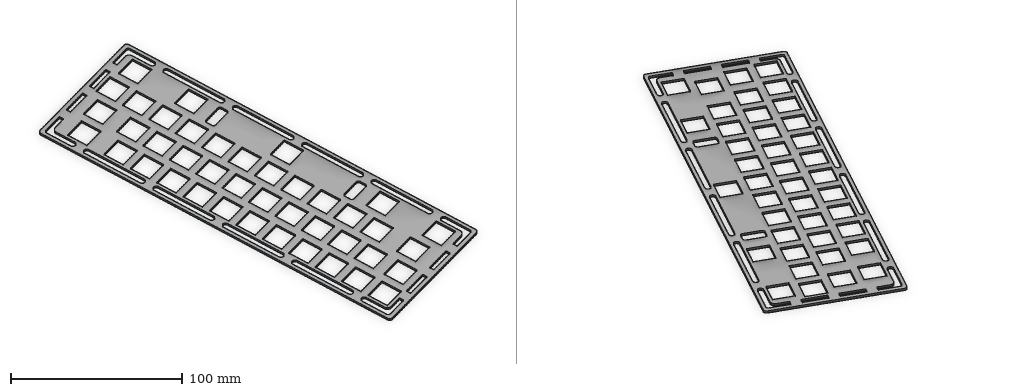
import cadquery as cq

plate_length = 254.0
plate_width = 87.5
plate_thickness = 1.6
plate_corner_radius = 2.0

key_pitch = 19.0
row_count = 4
switch_size = 14.0
half_row = 12.75 / 2
space_bar_row_columns = [-5.75, -3.625, 0, 3.625, 5.75]

stabiliser_spacing = 99.9
stabiliser_length = 6.9
stabiliser_width = 14.7
stabiliser_drop = 1.0
stabiliser_corner_radius = 1.5

side_rim = 2.3
end_rim = 2.8
end_slot_width = 3.0
long_slot_width = 3.8
long_slot_pitch = 50.0
long_slot_length = 43.7
long_slot_count = 4
end_slot_pitch = 23.0
end_slot_length = 16.3
end_slot_count = 2
corner_slot_outer_radius = 1.5
corner_slot_inner_radius = 2.8


def centred(count, pitch):
    """Positions of equally spaced items, centred on zero."""
    return [(i - (count - 1) / 2) * pitch for i in range(count)]


def row_centres(key_widths):
    """Key centres of a row packed from the left, in key pitches."""
    centres = []
    left = -half_row
    for width in key_widths:
        centres.append(left + width / 2)
        left += width
    return centres


def cutter():
    """Workplane on the underside of the plate."""
    return cq.Workplane("XY")


def switch_openings():
    rows = [
        [1.75] + [1] * 11,
        [1.5] + [1] * 10 + [1.25],
        [1] * 11 + [1.75],
    ]
    columns = [row_centres(row) for row in rows]
    columns.append(space_bar_row_columns)
    row_heights = centred(row_count, key_pitch)
    points = [
        (column * key_pitch, y)
        for row, y in zip(columns, row_heights)
        for column in row
    ]
    return cutter().pushPoints(points).rect(switch_size, switch_size).extrude(plate_thickness)


def stabiliser_openings():
    space_bar_row = centred(row_count, key_pitch)[-1]
    y = space_bar_row - stabiliser_drop
    return (
        cutter()
        .pushPoints([(x, y) for x in centred(2, stabiliser_spacing)])
        .rect(stabiliser_length, stabiliser_width)
        .extrude(plate_thickness)
        .edges("|Z")
        .fillet(stabiliser_corner_radius)
    )


def long_side_slots():
    spacing = plate_width - 2 * side_rim - long_slot_width
    points = [
        (x, y)
        for x in centred(long_slot_count, long_slot_pitch)
        for y in centred(2, spacing)
    ]
    return (
        cutter().pushPoints(points)
        .slot2D(long_slot_length, long_slot_width)
        .extrude(plate_thickness)
    )


def end_slots():
    spacing = plate_length - 2 * end_rim - end_slot_width
    points = [
        (x, y)
        for x in centred(2, spacing)
        for y in centred(end_slot_count, end_slot_pitch)
    ]
    return cutter().pushPoints(points).rect(end_slot_width, end_slot_length).extrude(plate_thickness)


def corner_slot():
    """L-shaped slot in the +X +Y corner, one rounded end and one square end."""
    outer_x = plate_length / 2 - end_rim
    outer_y = plate_width / 2 - side_rim
    inner_x = outer_x - end_slot_width
    inner_y = outer_y - long_slot_width
    end_radius = long_slot_width / 2
    start_x = (long_slot_count + 1) / 2 * long_slot_pitch - long_slot_length / 2
    start_y = (end_slot_count + 1) / 2 * end_slot_pitch - end_slot_length / 2
    arm_x = start_x + end_radius
    slot = (
        cutter()
        .moveTo(arm_x, outer_y)
        .lineTo(outer_x, outer_y)
        .lineTo(outer_x, start_y)
        .lineTo(inner_x, start_y)
        .lineTo(inner_x, inner_y)
        .lineTo(arm_x, inner_y)
        .threePointArc((start_x, outer_y - end_radius), (arm_x, outer_y))
        .close()
        .extrude(plate_thickness)
    )
    outer_corner = cq.selectors.NearestToPointSelector((outer_x, outer_y, plate_thickness / 2))
    inner_corner = cq.selectors.NearestToPointSelector((inner_x, inner_y, plate_thickness / 2))
    slot = slot.edges("|Z").edges(outer_corner).fillet(corner_slot_outer_radius)
    return slot.edges("|Z").edges(inner_corner).fillet(corner_slot_inner_radius)


plate = (
    cutter()
    .rect(plate_length, plate_width)
    .extrude(plate_thickness)
    .edges("|Z")
    .fillet(plate_corner_radius)
)
plate = plate.cut(switch_openings()).cut(stabiliser_openings())
plate = plate.cut(long_side_slots()).cut(end_slots())

upper_right = corner_slot()
upper_left = upper_right.mirror("YZ")
for slot in (upper_right, upper_left):
    plate = plate.cut(slot).cut(slot.mirror("XZ"))

result = plate